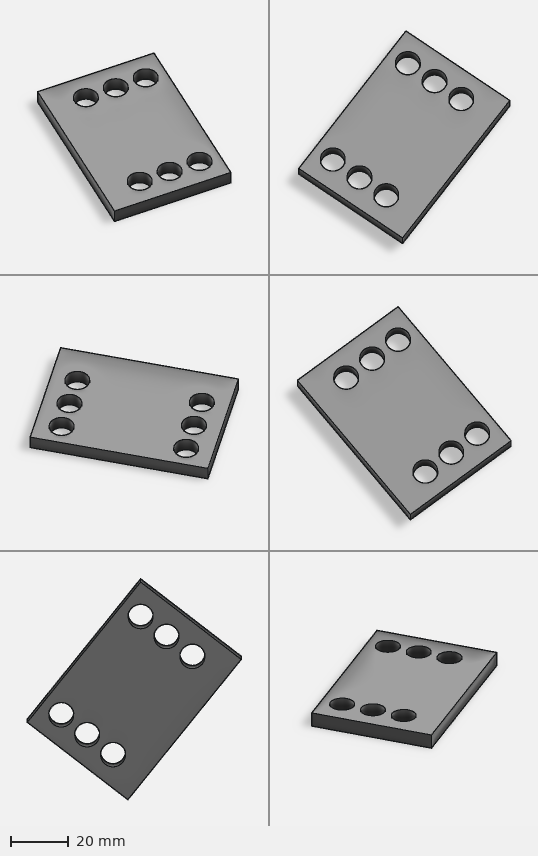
import cadquery as cq

plate_length = 63.5
plate_width = 44.45
plate_thickness = 5.25

hole_diameter = 8.64
holes_per_column = 3
hole_pitch = 11.43
column_spacing = 44.45
left_edge_to_first_column = 9.652
back_edge_to_first_hole = 7.62


def hole_centers():
    """Hole positions, counted rightward and forward from the back left corner."""
    first_x = -plate_length / 2 + left_edge_to_first_column
    first_y = plate_width / 2 - back_edge_to_first_hole
    return [
        (column_x, first_y - row * hole_pitch)
        for column_x in (first_x, first_x + column_spacing)
        for row in range(holes_per_column)
    ]


plate = cq.Workplane("XY").box(plate_length, plate_width, plate_thickness)

result = (
    plate.faces(">Z")
    .workplane(centerOption="CenterOfBoundBox")
    .pushPoints(hole_centers())
    .hole(hole_diameter)
)